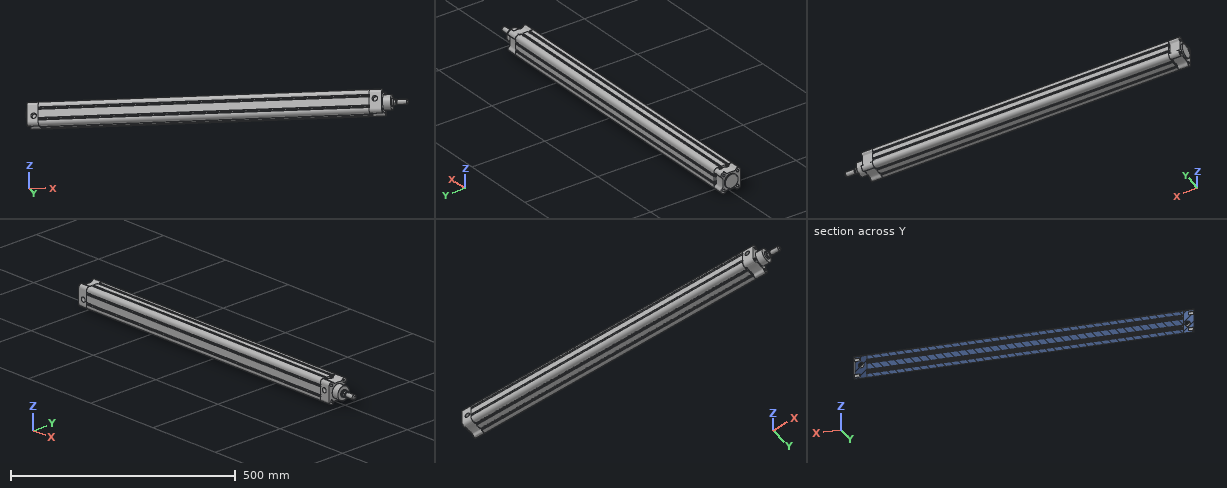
import cadquery as cq

LENGTH = 863.0
REAR_CAP_START = 3.5
REAR_CAP_END = 29.0
FRONT_CAP_START = 780.0
FRONT_CAP_END = 809.0
COLLAR_END = 827.0
ROD_SHOULDER = 831.0
THREAD_START = 836.0

SIDE = 54.0
HALF = SIDE / 2
CORNER_RADIUS = 9.0
CORNER_CENTER = HALF - CORNER_RADIUS

SPIGOT_DIAMETER = 35.0
SCREW_OFFSET = 19.0
SCREW_HOLE_DIAMETER = 6.0
SCREW_HOLE_DEPTH = 13.0

SCOOP_DEPTH = 5.0
SCOOP_FLOOR_HALF_WIDTH = 11.0
SCOOP_FLANK_CENTER = 15.0

SLOT_OFFSET = 9.5
PORT_FACE_SLOT_OFFSET = 12.0
SLOT_MOUTH_WIDTH = 5.0
SLOT_LIP = 3.5
PORT_FACE_SLOT_LIP = 7.0
SLOT_WIDTH = 9.0
SLOT_HEIGHT = 3.5
CHANNEL_WIDTH = 2.0
CHANNEL_DEPTH = 2.0

PORT_DIAMETER = 12.0
PORT_DEPTH = 13.0
PORT_OFFSET = 5.0
REAR_PORT_X = 19.0
FRONT_PORT_X = 793.0

ROD_DIAMETER = 18.0
ROD_CHAMFER = 1.0
NECK_DIAMETER = 14.0
NECK_FLATS = 12.0
THREAD_DIAMETER = 12.0
THREAD_CHAMFER = 3.0


def cylinder(diameter, start, end):
    return cq.Workplane("YZ", origin=(start, 0, 0)).circle(diameter / 2).extrude(end - start)


def scoop_cutter(start, end):
    """Bar that cuts the smooth valley, blending into the face at the corner rounds, out of the +Y face."""
    floor = HALF - SCOOP_DEPTH
    flank = HALF - SCOOP_DEPTH / 2
    valley = [
        (HALF, -CORNER_CENTER),
        (flank, -SCOOP_FLANK_CENTER),
        (floor, -SCOOP_FLOOR_HALF_WIDTH),
        (floor, 0),
        (floor, SCOOP_FLOOR_HALF_WIDTH),
        (flank, SCOOP_FLANK_CENTER),
        (HALF, CORNER_CENTER),
    ]
    along_face = (0, 1)
    return (
        cq.Workplane("YZ", origin=(start, 0, 0))
        .spline(valley, tangents=[along_face, along_face])
        .close()
        .extrude(end - start)
    )


def rounded_bar(start, end):
    """Square bar along X with rounded long edges."""
    bar = cq.Workplane("YZ", origin=(start, 0, 0)).rect(SIDE, SIDE).extrude(end - start)
    return bar.edges("|X").fillet(CORNER_RADIUS)


def cap_block(start, end, port_x, port_z):
    """Cap with a flat -Y face that holds an air port, and scoops in the other three faces."""
    cap = rounded_bar(start, end)
    scoop = scoop_cutter(start, end)
    for angle in (-90, 0, 90):
        cap = cap.cut(scoop.rotate((0, 0, 0), (1, 0, 0), angle))
    port = cq.Workplane("XZ", origin=(port_x, -HALF, port_z)).circle(PORT_DIAMETER / 2).extrude(-PORT_DEPTH)
    return cap.cut(port)


def screw_holes(face_x, depth):
    return (
        cq.Workplane("YZ", origin=(face_x, 0, 0))
        .rect(2 * SCREW_OFFSET, 2 * SCREW_OFFSET, forConstruction=True)
        .vertices()
        .circle(SCREW_HOLE_DIAMETER / 2)
        .extrude(depth)
    )


def make_rear_cap():
    cap = cap_block(REAR_CAP_START, REAR_CAP_END, REAR_PORT_X, -PORT_OFFSET)
    cap = cap.union(cylinder(SPIGOT_DIAMETER, 0, REAR_CAP_START))
    return cap.cut(screw_holes(REAR_CAP_START, SCREW_HOLE_DEPTH))


def make_front_cap():
    cap = cap_block(FRONT_CAP_START, FRONT_CAP_END, FRONT_PORT_X, PORT_OFFSET)
    cap = cap.union(cylinder(SPIGOT_DIAMETER, FRONT_CAP_END, COLLAR_END))
    cap = cap.cut(screw_holes(FRONT_CAP_END, -SCREW_HOLE_DEPTH))
    return cap.cut(cylinder(ROD_DIAMETER, FRONT_CAP_START, COLLAR_END))


def groove(offset, width, top_depth, bottom_depth):
    """Bar along the barrel, below its +Y face, between two depths."""
    return (
        cq.Workplane("YZ", origin=(REAR_CAP_END, 0, 0))
        .center(HALF - (top_depth + bottom_depth) / 2, offset)
        .rect(bottom_depth - top_depth, width)
        .extrude(FRONT_CAP_START - REAR_CAP_END)
    )


def make_barrel():
    barrel = rounded_bar(REAR_CAP_END, FRONT_CAP_START)
    for angle in (0, 90, 180, 270):
        on_port_face = angle == 180
        for side in (-1, 1):
            offset = side * (PORT_FACE_SLOT_OFFSET if on_port_face else SLOT_OFFSET)
            lip = PORT_FACE_SLOT_LIP if on_port_face else SLOT_LIP
            floor = lip + SLOT_HEIGHT
            slot = groove(offset, SLOT_MOUTH_WIDTH, 0, lip)
            slot = slot.union(groove(offset, SLOT_WIDTH, lip, floor))
            if on_port_face:
                slot = slot.union(groove(offset, CHANNEL_WIDTH, floor, floor + CHANNEL_DEPTH))
            barrel = barrel.cut(slot.rotate((0, 0, 0), (1, 0, 0), angle))
    return barrel


def make_rod():
    shaft = cylinder(ROD_DIAMETER, FRONT_CAP_START, ROD_SHOULDER).faces(">X").chamfer(ROD_CHAMFER)
    neck_length = THREAD_START - ROD_SHOULDER
    flats = cq.Workplane("YZ", origin=(ROD_SHOULDER, 0, 0)).rect(NECK_FLATS, ROD_DIAMETER).extrude(neck_length)
    neck = cylinder(NECK_DIAMETER, ROD_SHOULDER, THREAD_START).intersect(flats)
    thread = cylinder(THREAD_DIAMETER, THREAD_START, LENGTH).faces("<X or >X").chamfer(THREAD_CHAMFER)
    return shaft.union(neck).union(thread)


rear_cap = make_rear_cap()
barrel = make_barrel()
front_cap = make_front_cap()
rod = make_rod()

result = cq.Compound.makeCompound([rear_cap.val(), barrel.val(), front_cap.val(), rod.val()])